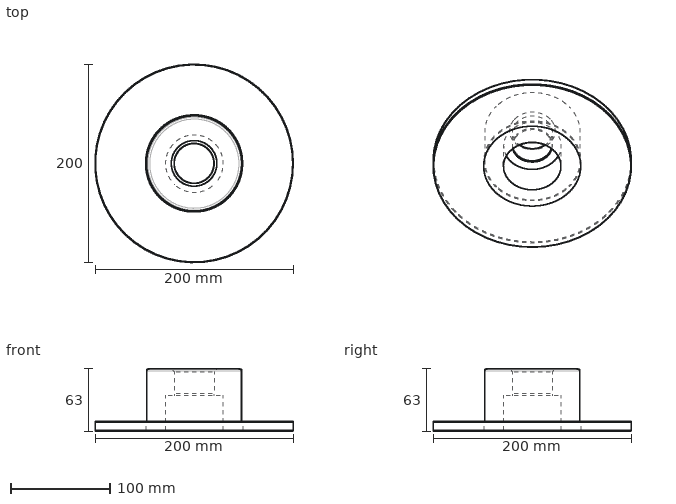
import cadquery as cq
import math

disk_diameter = 200.0
disk_thickness = 10.0
rim_chamfer_width = 0.5
rim_chamfer_height = 1.0
total_height = 63.0

hub_diameter = 96.0
hub_top_diameter = 90.0
lead_in_angle = 15.0
lead_in_rounding = 1.5

base_diameter = 98.0

bore_diameter = 40.2
bore_mouth_diameter = 46.0
land_diameter = 40.0
land_top = 38.5
land_bottom = 36.2
counterbore_diameter = 58.0


def make_disk():
    """Flat disk with chamfered rims and a hole for the hub base, revolved from its half section."""
    hole = base_diameter / 2
    rim = disk_diameter / 2
    face_edge = rim - rim_chamfer_width
    section = [
        (hole, 0),
        (face_edge, 0),
        (rim, rim_chamfer_height),
        (rim, disk_thickness - rim_chamfer_height),
        (face_edge, disk_thickness),
        (hole, disk_thickness),
    ]
    return cq.Workplane("XZ").polyline(section).close().revolve(360, (0, 0), (0, 1))


def make_hub():
    """Turned sleeve that passes through the disk, revolved from its half section."""
    base = base_diameter / 2
    outer = hub_diameter / 2
    top = hub_top_diameter / 2
    bore = bore_diameter / 2
    mouth = bore_mouth_diameter / 2
    land = land_diameter / 2
    counterbore = counterbore_diameter / 2
    shoulder_height = total_height - (outer - top) * math.tan(math.radians(lead_in_angle))
    mouth_start = total_height - (mouth - bore)

    section = [
        (counterbore, 0),
        (base, 0),
        (base, disk_thickness),
        (outer, disk_thickness),
        (outer, shoulder_height),
        (top, total_height),
        (mouth, total_height),
        (bore, mouth_start),
        (bore, land_top),
        (land, land_top),
        (land, land_bottom),
        (counterbore, land_bottom),
    ]
    sleeve = cq.Workplane("XZ").polyline(section).close().revolve(360, (0, 0), (0, 1))
    shoulder_edges = sleeve.edges("%CIRCLE").filter(
        lambda edge: math.isclose(edge.Center().z, shoulder_height, abs_tol=0.0002)
    )
    return shoulder_edges.fillet(lead_in_rounding)


disk = make_disk()
hub = make_hub()

result = cq.Compound.makeCompound([disk.val(), hub.val()])